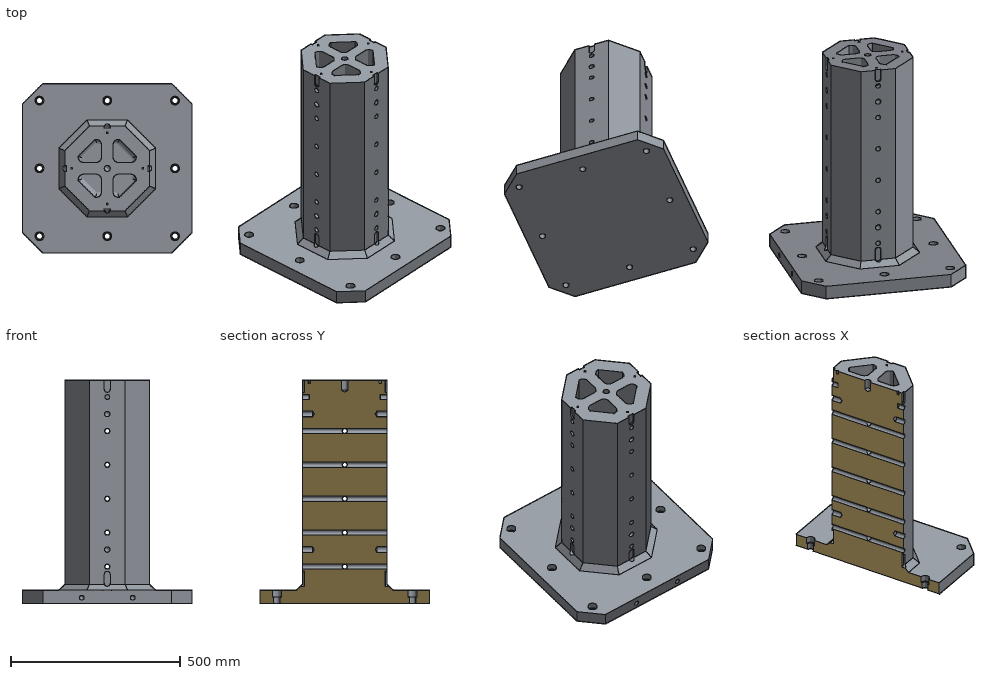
import cadquery as cq
import math

PLATE_SIDE = 500.0
PLATE_THICKNESS = 40.0
PLATE_CORNER_CUT = 60.0
BOLT_OFFSET = 200.0
BOLT_HOLE_DIAMETER = 18.0
COUNTERBORE_DIAMETER = 26.0
COUNTERBORE_DEPTH = 20.0
EDGE_HOLE_DIAMETER = 14.0
EDGE_HOLE_OFFSET = 75.0
EDGE_HOLE_DEPTH = 30.0
EDGE_HOLE_HEIGHT = 18.0

TOTAL_HEIGHT = 660
COLUMN_WIDTH = 250.0
COLUMN_CORNER_CUT = 72.5
FOOT_HEIGHT = 17.0
FOOT_SPREAD = 18.0

HOLLOW_WIDTH = 171.5
HOLLOW_CORNER_CUT = 50.0
HOLLOW_FLOOR_RADIUS = 16.5
RIB_THICKNESS = 34.0
WELL_CORNER_RADIUS = 16.5

HOLE_ROW_MIDDLE = 360.0
FACE_HOLE_DIAMETER = 14.0
THROUGH_HOLE_OFFSETS = (-250.0, -150.0, -50.0, 50.0, 150.0)
BLIND_HOLE_OFFSET = 250.0
BLIND_HOLE_DEPTH = 20.0
DRILLED_HOLE_OFFSET = 200.0
DRILLED_HOLE_DIAMETER = 16.0
DRILLED_HOLE_DEPTH = 30.0
DRILL_POINT_ANGLE = 118

SLOT_WIDTH = 18.0
SLOT_DEPTH = 5.0
TOP_SLOT_LENGTH = 36.0
LOWER_SLOT_BOTTOM = 51.5
LOWER_SLOT_TOP = 96.0

CENTRE_HOLE_DIAMETER = 18.0
CENTRE_HOLE_DEPTH = 30.0
PIN_HOLE_DIAMETER = 5.0
PIN_HOLE_OFFSET = 105.0
PIN_HOLE_DEPTH = 10.0

COLUMN_HALF = COLUMN_WIDTH / 2
QUARTER_TURNS = (0, 90, 180, 270)


def octagon(width, corner_cut, z):
    """Square outline at height z with its four corners cut off at 45 degrees."""
    side = width / 2
    flat_end = side - corner_cut
    quarter = [(side, flat_end), (flat_end, side)]
    points = []
    for _ in range(4):
        points += quarter
        quarter = [(-y, x) for x, y in quarter]
    return cq.Workplane("XY").workplane(offset=z).polyline(points).close()


def drilled_hole(diameter, depth, entry, direction):
    """Solid of a blind hole with a conical drill point, bored from the entry point."""
    radius = diameter / 2
    point_length = radius / math.tan(math.radians(DRILL_POINT_ANGLE / 2))
    axis = cq.Vector(*direction)
    bore = cq.Solid.makeCylinder(radius, depth, cq.Vector(*entry), axis)
    point = cq.Solid.makeCone(radius, 0, point_length, cq.Vector(*entry) + axis * depth, axis)
    return cq.Workplane(bore).union(cq.Workplane(point))


def around_column(cutter):
    """Four copies of a cutter, one quarter turn apart about the column axis."""
    copies = cq.Workplane()
    for angle in QUARTER_TURNS:
        copies = copies.add(cutter.rotate((0, 0, 0), (0, 0, 1), angle))
    return copies.combine()


def base_plate():
    plate = cq.Workplane("XY").box(PLATE_SIDE, PLATE_SIDE, PLATE_THICKNESS, centered=(True, True, False))
    plate = plate.edges("|Z").chamfer(PLATE_CORNER_CUT)
    steps = (-BOLT_OFFSET, 0, BOLT_OFFSET)
    bolt_points = [(x, y) for x in steps for y in steps if (x, y) != (0, 0)]
    plate = (
        plate.faces(">Z")
        .workplane(origin=(0, 0, 0))
        .pushPoints(bolt_points)
        .cboreHole(BOLT_HOLE_DIAMETER, COUNTERBORE_DIAMETER, COUNTERBORE_DEPTH)
    )
    for x in (-EDGE_HOLE_OFFSET, EDGE_HOLE_OFFSET):
        entry = (x, -PLATE_SIDE / 2, EDGE_HOLE_HEIGHT)
        plate = plate.cut(drilled_hole(EDGE_HOLE_DIAMETER, EDGE_HOLE_DEPTH, entry, (0, 1, 0)))
    return plate


def column_body():
    column = octagon(COLUMN_WIDTH, COLUMN_CORNER_CUT, PLATE_THICKNESS).extrude(TOTAL_HEIGHT - PLATE_THICKNESS)
    foot_width = COLUMN_WIDTH + 2 * FOOT_SPREAD
    foot_corner_cut = COLUMN_CORNER_CUT + FOOT_SPREAD * (2 - math.sqrt(2))
    foot_angle = math.degrees(math.atan2(FOOT_SPREAD, FOOT_HEIGHT))
    foot = octagon(foot_width, foot_corner_cut, PLATE_THICKNESS).extrude(FOOT_HEIGHT, taper=foot_angle)
    return column.union(foot)


def column_wells():
    depth = TOTAL_HEIGHT - PLATE_THICKNESS
    hollow = octagon(HOLLOW_WIDTH, HOLLOW_CORNER_CUT, PLATE_THICKNESS).extrude(depth)
    hollow = hollow.faces("<Z").edges().fillet(HOLLOW_FLOOR_RADIUS)
    inner = RIB_THICKNESS / 2
    outer = HOLLOW_WIDTH / 2
    flat_end = outer - HOLLOW_CORNER_CUT
    outline = [(inner, inner), (outer, inner), (outer, flat_end), (flat_end, outer), (inner, outer)]
    prism = cq.Workplane("XY").workplane(offset=PLATE_THICKNESS).polyline(outline).close().extrude(depth)
    rounded = [(inner, inner), (outer, inner), (inner, outer)]
    for x, y in rounded:
        corner = cq.selectors.NearestToPointSelector((x, y, PLATE_THICKNESS + depth / 2))
        prism = prism.edges("|Z").edges(corner).fillet(WELL_CORNER_RADIUS)
    return around_column(prism.intersect(hollow))


def through_holes():
    points = [(0, HOLE_ROW_MIDDLE + offset) for offset in THROUGH_HOLE_OFFSETS]
    along_y = cq.Workplane("XZ").pushPoints(points).circle(FACE_HOLE_DIAMETER / 2)
    bores = along_y.extrude(COLUMN_HALF, both=True)
    return bores.union(bores.rotate((0, 0, 0), (0, 0, 1), 90))


def blind_face_holes():
    face = cq.Workplane("XZ", origin=(0, -COLUMN_HALF, 0))
    bore = face.center(0, HOLE_ROW_MIDDLE + BLIND_HOLE_OFFSET).circle(FACE_HOLE_DIAMETER / 2)
    holes = bore.extrude(-BLIND_HOLE_DEPTH)
    for offset in (-DRILLED_HOLE_OFFSET, DRILLED_HOLE_OFFSET):
        entry = (0, -COLUMN_HALF, HOLE_ROW_MIDDLE + offset)
        holes = holes.union(drilled_hole(DRILLED_HOLE_DIAMETER, DRILLED_HOLE_DEPTH, entry, (0, 1, 0)))
    return around_column(holes)


def key_slots():
    floor = cq.Workplane("XZ", origin=(0, SLOT_DEPTH - COLUMN_HALF, 0))
    reach = SLOT_DEPTH + FOOT_SPREAD

    def slot(bottom, top):
        outline = floor.center(0, (bottom + top) / 2).slot2D(top - bottom, SLOT_WIDTH, 90)
        return outline.extrude(reach)

    upper = slot(TOTAL_HEIGHT - TOP_SLOT_LENGTH, TOTAL_HEIGHT + SLOT_WIDTH)
    lower = slot(LOWER_SLOT_BOTTOM, LOWER_SLOT_TOP)
    return around_column(upper.union(lower))


def top_holes():
    centre = drilled_hole(CENTRE_HOLE_DIAMETER, CENTRE_HOLE_DEPTH, (0, 0, TOTAL_HEIGHT), (0, 0, -1))
    top = cq.Workplane("XY").workplane(offset=TOTAL_HEIGHT)
    pin = top.center(0, -PIN_HOLE_OFFSET).circle(PIN_HOLE_DIAMETER / 2).extrude(-PIN_HOLE_DEPTH)
    return centre.union(around_column(pin))


result = base_plate().union(column_body())
for cutter in (column_wells(), through_holes(), blind_face_holes(), key_slots(), top_holes()):
    result = result.cut(cutter)